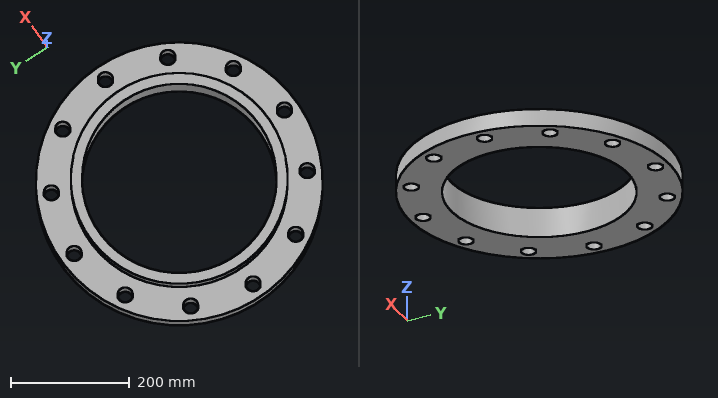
import cadquery as cq

flange_diameter = 482.5
flange_thickness = 32.0
hub_diameter = 364.7
total_height = 55.5
bore_diameter = 327.0

bolt_count = 12
bolt_circle_diameter = 432.0
bolt_hole_diameter = 25.5


def flange_body():
    """Flat flange disc with a raised hub on its upper face."""
    disc = cq.Workplane("XY").circle(flange_diameter / 2).extrude(flange_thickness)
    hub = cq.Workplane("XY").circle(hub_diameter / 2).extrude(total_height)
    return disc.union(hub)


def bore():
    """Central opening through the hub and the disc."""
    return cq.Workplane("XY").circle(bore_diameter / 2).extrude(total_height)


def bolt_holes():
    """Ring of through holes, the first one on the +X axis."""
    return (
        cq.Workplane("XY")
        .polarArray(bolt_circle_diameter / 2, 0, 360, bolt_count)
        .circle(bolt_hole_diameter / 2)
        .extrude(flange_thickness)
    )


result = flange_body().cut(bore()).cut(bolt_holes())